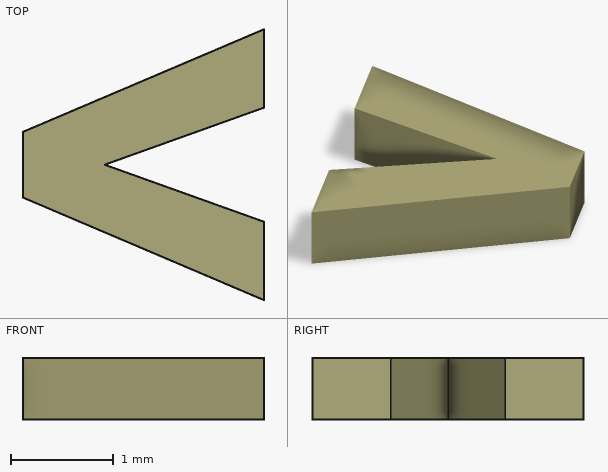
import cadquery as cq

length = 2.35
span = 2.64
thickness = 0.6
tip_width = 0.64
arm_end_width = 0.765
notch_offset = 0.8

tip_x = -length / 2
arm_end_x = length / 2
notch_x = tip_x + notch_offset
outer_y = span / 2
inner_y = outer_y - arm_end_width
tip_y = tip_width / 2


def v_plate():
    """Flat V, symmetric about the X axis and opening toward +X."""
    outline = [
        (tip_x, tip_y),
        (tip_x, -tip_y),
        (arm_end_x, -outer_y),
        (arm_end_x, -inner_y),
        (notch_x, 0),
        (arm_end_x, inner_y),
        (arm_end_x, outer_y),
    ]
    return cq.Workplane("XY").polyline(outline).close().extrude(thickness)


result = v_plate()